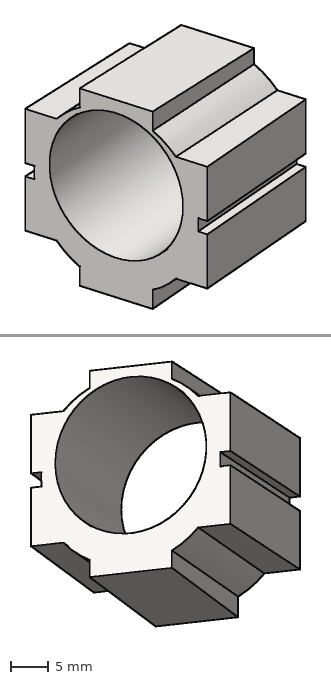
import cadquery as cq

outer_size = 30.0
length = 24.0
taper_per_side = 0.48
back_size = outer_size - 2 * taper_per_side

body_diameter = 27.0
bore_diameter = 22.0
bore_offset = 2.0

end_pad_width = 12.0
side_pad_height = 18.5

groove_width = 2.0
groove_depth = 1.5

front_plane = cq.Workplane("XZ", origin=(0, -length / 2, 0))


def cylinder(diameter, z_center=0.0):
    """Full-length cylinder along Y."""
    return front_plane.center(0, z_center).circle(diameter / 2).extrude(-length)


def tapered_bar(width, inset=0.0):
    """Bar of constant width in Z whose X faces, moved in by inset, converge toward +Y."""
    front_x = outer_size / 2 - inset
    back_x = back_size / 2 - inset
    return (
        cq.Workplane("XY")
        .polyline([
            (-front_x, -length / 2),
            (front_x, -length / 2),
            (back_x, length / 2),
            (-back_x, length / 2),
        ])
        .close()
        .extrude(width / 2, both=True)
    )


side_pads = tapered_bar(side_pad_height)
end_pads = tapered_bar(end_pad_width).rotate((0, 0, 0), (0, 1, 0), 90)
body = cylinder(body_diameter).union(side_pads).union(end_pads)

grooves = tapered_bar(groove_width).cut(tapered_bar(groove_width, groove_depth))

result = body.cut(grooves).cut(cylinder(bore_diameter, bore_offset))